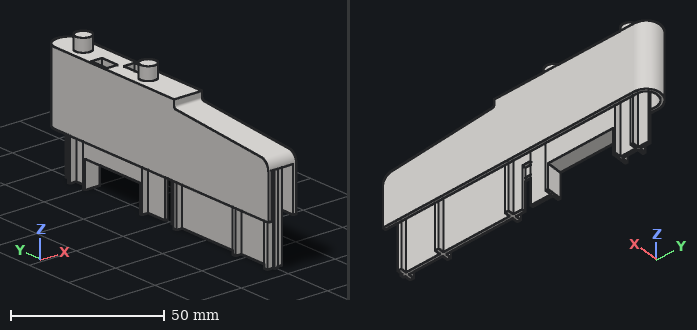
import cadquery as cq


LENGTH = 114.0
WIDTH = 12.0
HEIGHT = 28.8
WALL = 1.4
STEP_Y = 47.8
STEP_DROP = 3.2
FRONT_DROP = 7.2
STEP_FILLET = 0.9
NOSE_FILLET = 4.0
CAVITY_HEIGHT = 17.9

POCKET_WIDTH = 4.6
POCKET_LENGTH = 8.0
POCKET_DEPTH = 8.0
POCKET_EDGE_GAP = 1.0
LEFT_POCKET_Y = 87.1
RIGHT_POCKET_Y = 77.0

PIN_DIAMETER = 6.5
PIN_HEIGHT = 5.2
PIN_CENTRES_Y = (68.1, 101.0)

INSERT_FRONT_Y = 3.1
INSERT_REAR_Y = 109.3
INSERT_WIDTH = 6.3
INSERT_DROP = 18.5
GAP_FRONT_Y = 55.4
GAP_REAR_Y = 58.8
FRONT_PLATE = 1.5
REAR_PLATE = 1.0
FRONT_RIB = 1.6
REAR_RIB = 1.0
FRONT_BLADE_RIBS_Y = (3.9, 20.0, 49.9)
REAR_BLADE_RIB_Y = 104.0
NOTCH_FRONT_Y = 68.5
NOTCH_REAR_Y = 96.3
BRIDGE_DROP = 7.5


def box(width, front_y, rear_y, bottom_z, top_z, centre_x=0):
    """A block centred on centre_x, between the given Y and Z limits."""
    block = cq.Workplane("XY").box(width, rear_y - front_y, top_z - bottom_z, centered=(True, False, False))
    return block.translate((centre_x, front_y, bottom_z))


def round_ended_block(width, rear_y, height):
    """A block from the front end whose rear end is a half cylinder."""
    radius = width / 2
    return (
        cq.Workplane("XY")
        .moveTo(-radius, 0)
        .lineTo(radius, 0)
        .lineTo(radius, rear_y - radius)
        .threePointArc((0, rear_y), (-radius, rear_y - radius))
        .close()
        .extrude(height)
    )


def side_profile():
    """The stepped and sloping side outline, extruded across the width."""
    profile = (
        cq.Workplane("YZ")
        .polyline(
            [
                (0, 0),
                (LENGTH, 0),
                (LENGTH, HEIGHT),
                (STEP_Y, HEIGHT),
                (STEP_Y, HEIGHT - STEP_DROP),
                (0, HEIGHT - FRONT_DROP),
            ]
        )
        .close()
        .extrude(WIDTH / 2, both=True)
    )
    profile = profile.edges(cq.NearestToPointSelector((0, STEP_Y, HEIGHT - STEP_DROP))).fillet(STEP_FILLET)
    return profile.edges(cq.NearestToPointSelector((0, 0, HEIGHT - FRONT_DROP))).fillet(NOSE_FILLET)


def make_housing():
    outside = round_ended_block(WIDTH, LENGTH, HEIGHT).intersect(side_profile())
    housing = outside.cut(round_ended_block(WIDTH - 2 * WALL, LENGTH - WALL, CAVITY_HEIGHT))
    pocket_x = (WIDTH - POCKET_WIDTH) / 2 - POCKET_EDGE_GAP
    for x, y in ((-pocket_x, LEFT_POCKET_Y), (pocket_x, RIGHT_POCKET_Y)):
        front_y = y - POCKET_LENGTH / 2
        rear_y = y + POCKET_LENGTH / 2
        housing = housing.cut(box(POCKET_WIDTH, front_y, rear_y, HEIGHT - POCKET_DEPTH, HEIGHT, x))
    return housing


def make_pin(centre_y):
    pin = cq.Workplane("XY").circle(PIN_DIAMETER / 2).extrude(PIN_HEIGHT)
    return pin.translate((0, centre_y, HEIGHT))


def upright(width, front_y, rear_y):
    """A full-height slice of the insert, from its lower end to the cavity ceiling."""
    return box(width, front_y, rear_y, -INSERT_DROP, CAVITY_HEIGHT)


def make_front_blade():
    blade = upright(FRONT_PLATE, INSERT_FRONT_Y, GAP_REAR_Y)
    for front_y in FRONT_BLADE_RIBS_Y:
        blade = blade.union(upright(INSERT_WIDTH, front_y, front_y + FRONT_RIB))
    return blade


def make_rear_blade():
    plate = upright(REAR_PLATE, GAP_REAR_Y, INSERT_REAR_Y)
    rib = upright(INSERT_WIDTH, REAR_BLADE_RIB_Y, REAR_BLADE_RIB_Y + REAR_RIB)
    block = upright(INSERT_WIDTH, NOTCH_FRONT_Y - REAR_RIB, NOTCH_REAR_Y + REAR_RIB)
    notch = box(INSERT_WIDTH, NOTCH_FRONT_Y, NOTCH_REAR_Y, -INSERT_DROP, -BRIDGE_DROP)
    return plate.union(rib).union(block).cut(notch)


def make_insert():
    gap = box(INSERT_WIDTH, GAP_FRONT_Y, GAP_REAR_Y, -INSERT_DROP, 0)
    return make_front_blade().union(make_rear_blade()).cut(gap)


housing = make_housing()
pins = [make_pin(y) for y in PIN_CENTRES_Y]
insert = make_insert()
result = cq.Compound.makeCompound([housing.val(), *[pin.val() for pin in pins], insert.val()])